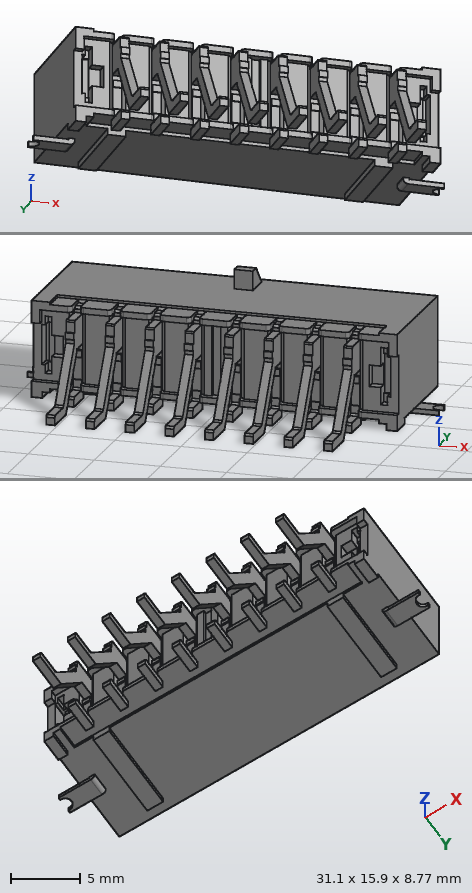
import cadquery as cq


total_length = 31.1
body_length = 27.65
body_depth = 9.85
body_top = 7.3
body_bottom = 0.47
half_body = body_length / 2

pin_count = 8
pin_row_span = 21.0
pin_pitch = pin_row_span / (pin_count - 1)
pin_width = 0.65
pin_root_y = 0.93
upper_pin_top = 6.47
tail_top = 0.75
tail_bevel_bottom = 0.55
pin_places = [-pin_row_span / 2 + i * pin_pitch for i in range(pin_count)]

recess_depth = 0.47
recess_half_length = 13.2
recess_floor = 1.2
recess_roof = 6.65
side_opening_top = 5.63

step_half_length = 12.45
step_depth = 1.87
roof_step = 7.12
floor_step = 0.75

slot_half_width = pin_width / 2
slot_corner_radius = 0.28
groove_depth = 0.28
groove_back = recess_depth + groove_depth
center_groove_width = 0.65

foot_length = 0.8
foot_depth = step_depth
post_outer_x = 10.8
post_inner_x = 9.42
post_depth = 7.05
latch_width = 1.4

tab_thickness = 0.37
tab_width = 1.5
tab_y = 5.25
tab_leg_thickness = 0.47
tab_bend_radius = 0.35
tab_notch_radius = 0.53
tab_notch_inset = 0.1


def box(x_range, y_range, z_range):
    """Block between two limits on each axis."""
    sizes = [limits[1] - limits[0] for limits in (x_range, y_range, z_range)]
    corner = (x_range[0], y_range[0], z_range[0])
    return cq.Workplane("XY").box(*sizes, centered=False).translate(corner)


def side_profile(points, width, center_x):
    """Outline of (y, z) points extruded along X, centred on center_x."""
    outline = cq.Workplane("YZ").polyline(points).close()
    return outline.extrude(width / 2, both=True).translate((center_x, 0, 0))


def add_on_both_ends(solid, feature):
    """Join a left-end feature and its mirror image."""
    return solid.union(feature).union(feature.mirror("YZ"))


def cut_on_both_ends(solid, feature):
    """Remove a left-end feature and its mirror image."""
    return solid.cut(feature).cut(feature.mirror("YZ"))


def make_housing():
    """Solid block with the pin-side recess, open at both ends, and its two shallow steps."""
    body = box((-half_body, half_body), (0, body_depth), (body_bottom, body_top))
    recess_x = (-recess_half_length, recess_half_length)
    step_x = (-step_half_length, step_half_length)
    body = body.cut(box(recess_x, (0, recess_depth), (recess_floor, recess_roof)))
    body = body.cut(box((-half_body, half_body), (0, recess_depth), (recess_floor, side_opening_top)))
    body = body.cut(box(step_x, (0, step_depth), (roof_step, body_top)))
    return body.cut(box(step_x, (0, step_depth), (body_bottom, floor_step)))


def make_foot_and_post():
    """Corner foot and the standoff post beside the end pin, at the left end."""
    foot_end = -half_body + foot_length
    foot = box((-half_body, foot_end), (0, foot_depth), (0, body_bottom))
    post = box((-post_outer_x, -post_inner_x), (step_depth, step_depth + post_depth), (0, body_bottom))
    return foot.union(post)


def make_latch():
    """Ramped latch on the top face."""
    latch_front, latch_crest, latch_back = 7.05, 7.9, 9.25
    latch_top = 8.77
    points = [
        (latch_front, body_top),
        (latch_front, latch_top),
        (latch_crest, latch_top),
        (latch_back, body_top),
    ]
    return side_profile(points, latch_width, 0)


def make_tab():
    """Flat tab with a half-round notch, bent up into the housing at its inner end."""
    tab_end = -total_length / 2
    tab_y_range = (tab_y - tab_width / 2, tab_y + tab_width / 2)
    plate = box((tab_end, -step_half_length), tab_y_range, (0, tab_thickness))
    leg_x = (-step_half_length - tab_leg_thickness, -step_half_length)
    leg = box(leg_x, tab_y_range, (0, body_bottom))
    notch = cq.Workplane("XY").center(tab_end + tab_notch_inset, tab_y).circle(tab_notch_radius)
    tab = plate.union(leg).edges("|Y and >X and <Z").fillet(tab_bend_radius)
    return tab.cut(notch.extrude(tab_thickness))


def make_end_pocket():
    """Stepped slot in the recess wall that takes the leg of a solder tab."""
    slot_outer_x = -12.95
    window_inner_x = -11.57
    leg_side = -step_half_length - tab_leg_thickness
    slot_back, leg_back, side_back = 1.2, 1.4, 1.6
    slot_z = (1.75, 6.05)
    leg_z = (2.4, 5.4)
    window_z = (3.05, 4.65)
    slot = box((slot_outer_x, -step_half_length), (recess_depth, slot_back), slot_z)
    leg_space = box((leg_side, -step_half_length), (recess_depth, leg_back), leg_z)
    side_space = box((-recess_half_length, leg_side), (recess_depth, side_back), leg_z)
    window = box((-step_half_length, window_inner_x), (recess_depth, slot_back), window_z)
    return slot.union(leg_space).union(side_space).union(window)


def rounded_slot(center_x, z_range):
    """Open-ended slot in the front lip, with rounded corners at its mouth."""
    r = slot_corner_radius
    outline = (
        cq.Workplane("XY")
        .moveTo(-slot_half_width - r, 0)
        .radiusArc((-slot_half_width, r), -r)
        .lineTo(-slot_half_width, groove_back)
        .lineTo(slot_half_width, groove_back)
        .lineTo(slot_half_width, r)
        .radiusArc((slot_half_width + r, 0), -r)
        .close()
    )
    return outline.extrude(z_range[1] - z_range[0]).translate((center_x, 0, z_range[0]))


def make_pin_clearance(center_x):
    """Flared wall groove, lip slots and the stepped channel over one pair of pins."""
    mouth_half_width = slot_half_width + groove_depth
    groove = (
        cq.Workplane("XY")
        .polyline(
            [
                (-mouth_half_width, recess_depth),
                (-slot_half_width, groove_back),
                (slot_half_width, groove_back),
                (mouth_half_width, recess_depth),
            ]
        )
        .close()
        .extrude(recess_roof - recess_floor)
        .translate((center_x, 0, recess_floor))
    )
    channel = [
        (recess_depth, upper_pin_top),
        (0.78, upper_pin_top),
        (0.78, 6.72),
        (0.85, 6.72),
        (1.03, 6.9),
        (1.7, 6.9),
        (step_depth, roof_step),
        (recess_depth, roof_step),
    ]
    clearance = groove.union(side_profile(channel, pin_width, center_x))
    clearance = clearance.union(rounded_slot(center_x, (recess_roof, roof_step)))
    return clearance.union(rounded_slot(center_x, (floor_step, recess_floor)))


def make_upper_pin(center_x):
    """Flat pin that leaves the wall, steps down and slopes to a tail on the board."""
    points = [
        (pin_root_y, upper_pin_top),
        (-1.12, upper_pin_top),
        (-1.2, 6.35),
        (-1.2, 5.57),
        (-1.4, 5.57),
        (-1.4, 5.07),
        (-1.3, 5.07),
        (-1.3, 4.75),
        (-3.9, 0.87),
        (-4.07, tail_top),
        (-5.95, tail_top),
        (-6.03, tail_bevel_bottom),
        (-6.03, 0),
        (-3.33, 0),
        (-0.6, 4.17),
        (pin_root_y, 4.17),
    ]
    return side_profile(points, pin_width, center_x)


def make_lower_pin(center_x):
    """Tail on the board that bends up into a blade standing in the wall groove."""
    blade_front = 0.55
    outline = [
        (pin_root_y, 0),
        (-1.4, 0),
        (-1.4, tail_bevel_bottom),
        (-1.28, tail_top),
        (0.3, tail_top),
        (recess_depth, 0.9),
        (recess_depth, 1.5),
        (blade_front, 1.5),
        (blade_front, 3.17),
        (recess_depth, 3.17),
        (recess_depth, 3.7),
        (pin_root_y, 3.7),
    ]
    return side_profile(outline, pin_width, center_x)


housing = make_housing()
housing = add_on_both_ends(housing, make_foot_and_post())
housing = cut_on_both_ends(housing, make_end_pocket())
center_groove_x = (-center_groove_width / 2, center_groove_width / 2)
center_groove_y = (recess_depth, groove_back)
housing = housing.cut(box(center_groove_x, center_groove_y, (recess_floor, recess_roof)))
for place in pin_places:
    housing = housing.cut(make_pin_clearance(place))

result = add_on_both_ends(housing.union(make_latch()), make_tab())
for place in pin_places:
    result = result.union(make_upper_pin(place)).union(make_lower_pin(place))